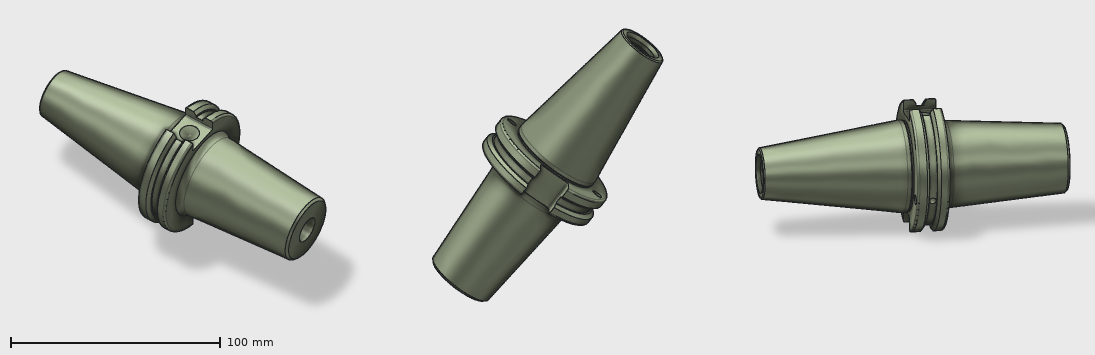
import cadquery as cq
import math

total_length = 148.2
gauge_plane = 68.2
neck_start = 70.1
flange_start = 71.3
flange_width = 15.9
flange_end = flange_start + flange_width
groove_center = 79.5
nose_start = 90.9

taper_slope = 7 / 24 / 2
gauge_radius = 22.2
taper_small_radius = gauge_radius - gauge_plane * taper_slope
neck_radius = 21.8
neck_step = 0.5
taper_end_chamfer = 0.6

flange_diameter = 63.3
flange_radius = flange_diameter / 2
flange_edge_fillet = 1.0
groove_floor_radius = 28.6
groove_floor_width = 3.9
groove_bevel_width = 1.5
groove_bevel_height = 2.1

nose_diameter = 42.0
nose_radius = nose_diameter / 2
nose_root_radius = 22.7
nose_tip_radius = 16.8
nose_tip_chamfer = 1.2

bore_diameter = 13.0
counterbore_diameter = 16.3
counterbore_depth = 3.9
countersink_diameter = 19.0
countersink_depth = 2.0

slot_width = 16.5
upper_slot_floor = 24.9
lower_slot_floor = 22.7
slot_corner_fillet = 0.6
dimple_diameter = 9.5
dimple_half_angle = 59
dimple_depth = dimple_diameter / 2 / math.tan(math.radians(dimple_half_angle))

coolant_angles = (20, 200)
coolant_entry_radius = 27.0
coolant_diameter = 4.2
coolant_slope = 35
cross_hole_diameter = 3.3
cutter_lead = 2.2


def make_body():
    """Revolve the outer profile about X."""
    wall_left = groove_center - groove_floor_width / 2
    wall_right = groove_center + groove_floor_width / 2
    bevel_radius = flange_radius - groove_bevel_height
    edge = flange_edge_fillet
    arc_inset = edge * (1 - math.sqrt(0.5))
    root_width = nose_start - flange_end
    root_height = nose_root_radius - nose_radius
    root_arc_radius = (root_width**2 + root_height**2) / (2 * root_height)
    profile = (
        cq.Workplane("XY")
        .moveTo(0, 0)
        .lineTo(0, taper_small_radius - taper_end_chamfer)
        .lineTo(taper_end_chamfer, taper_small_radius + taper_end_chamfer * taper_slope)
        .lineTo(gauge_plane, gauge_radius)
        .lineTo(neck_start, gauge_radius)
        .lineTo(neck_start + neck_step, neck_radius)
        .lineTo(flange_start, neck_radius)
        .lineTo(flange_start, flange_radius - edge)
        .threePointArc(
            (flange_start + arc_inset, flange_radius - arc_inset),
            (flange_start + edge, flange_radius),
        )
        .lineTo(wall_left - groove_bevel_width, flange_radius)
        .lineTo(wall_left, bevel_radius)
        .lineTo(wall_left, groove_floor_radius)
        .lineTo(wall_right, groove_floor_radius)
        .lineTo(wall_right, bevel_radius)
        .lineTo(wall_right + groove_bevel_width, flange_radius)
        .lineTo(flange_end - edge, flange_radius)
        .threePointArc(
            (flange_end - arc_inset, flange_radius - arc_inset),
            (flange_end, flange_radius - edge),
        )
        .lineTo(flange_end, nose_root_radius)
        .radiusArc((nose_start, nose_radius), -root_arc_radius)
        .lineTo(total_length - nose_tip_chamfer, nose_tip_radius)
        .lineTo(total_length, nose_tip_radius - nose_tip_chamfer)
        .lineTo(total_length, 0)
        .close()
    )
    return profile.revolve(360, (0, 0, 0), (1, 0, 0))


def make_bore():
    """Through bore with a counterbore and countersink at the taper end."""
    profile = (
        cq.Workplane("XY")
        .moveTo(0, 0)
        .lineTo(0, countersink_diameter / 2)
        .lineTo(countersink_depth, counterbore_diameter / 2)
        .lineTo(counterbore_depth, counterbore_diameter / 2)
        .lineTo(counterbore_depth, bore_diameter / 2)
        .lineTo(total_length, bore_diameter / 2)
        .lineTo(total_length, 0)
        .close()
    )
    return profile.revolve(360, (0, 0, 0), (1, 0, 0))


def make_slot(floor, side):
    """Drive slot cutter; side is +1 for the top of the flange and -1 for the bottom."""
    height = flange_radius
    slot = cq.Workplane("XY").box(flange_width, slot_width, height)
    inner_corners = "<Z" if side > 0 else ">Z"
    slot = slot.faces(inner_corners).edges("|X").fillet(slot_corner_fillet)
    middle = flange_start + flange_width / 2
    return slot.translate((middle, 0, side * (floor + height / 2)))


def make_dimple():
    """Drill-point cone in the floor of the upper slot."""
    cone = cq.Solid.makeCone(
        dimple_diameter / 2,
        0,
        dimple_depth,
        cq.Vector(groove_center, 0, upper_slot_floor),
        cq.Vector(0, 0, -1),
    )
    return cq.Workplane(obj=cone)


def make_coolant_passage(angle):
    """Sloping hole from the flange face to the bore, met by a radial hole from the groove."""
    slope = math.radians(coolant_slope)
    direction = cq.Vector(math.cos(slope), -math.sin(slope), 0)
    entry = cq.Vector(flange_start, coolant_entry_radius, 0)
    sloping_length = coolant_entry_radius / math.sin(slope)
    sloping = cq.Solid.makeCylinder(
        coolant_diameter / 2,
        sloping_length + cutter_lead,
        entry - direction * cutter_lead,
        direction,
    )
    meeting_radius = coolant_entry_radius - (groove_center - flange_start) * math.tan(slope)
    radial = cq.Solid.makeCylinder(
        cross_hole_diameter / 2,
        groove_floor_radius + cutter_lead - meeting_radius,
        cq.Vector(groove_center, groove_floor_radius + cutter_lead, 0),
        cq.Vector(0, -1, 0),
    )
    passage = cq.Workplane(obj=sloping).union(cq.Workplane(obj=radial))
    return passage.rotate((0, 0, 0), (1, 0, 0), angle)


result = make_body().cut(make_bore())
result = result.cut(make_slot(upper_slot_floor, 1))
result = result.cut(make_slot(lower_slot_floor, -1))
result = result.cut(make_dimple())
for coolant_angle in coolant_angles:
    result = result.cut(make_coolant_passage(coolant_angle))